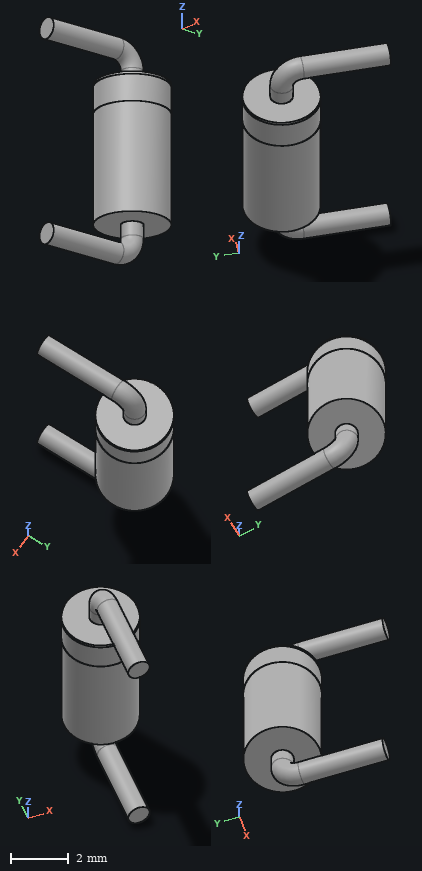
import cadquery as cq


body_diameter = 2.72
body_length = 5.2

band_diameter = 2.74
band_width = 1.0
band_end_gap = 0.1

lead_diameter = 0.8
lead_pitch = 7.62
lead_reach = 3.8
bend_radius = 0.7

body_top = body_length / 2
band_top = body_top - band_end_gap
bend_start = lead_pitch / 2 - bend_radius


def make_body():
    """Plain cylinder centred on the origin."""
    return (
        cq.Workplane("XY", origin=(0, 0, -body_top))
        .circle(body_diameter / 2)
        .extrude(body_length)
    )


def make_band():
    """Thin ring that fits closely around the body."""
    return (
        cq.Workplane("XY", origin=(0, 0, band_top - band_width))
        .circle(band_diameter / 2)
        .circle(body_diameter / 2)
        .extrude(band_width)
    )


def make_lead(end):
    """Round wire from a body end face to its tip; end is +1 for the upper lead, -1 for the lower."""
    path = (
        cq.Workplane("YZ")
        .moveTo(0, end * body_top)
        .lineTo(0, end * bend_start)
        .tangentArcPoint((-bend_radius, end * lead_pitch / 2), relative=False)
        .lineTo(-lead_reach, end * lead_pitch / 2)
    )
    return (
        cq.Workplane("XY", origin=(0, 0, end * body_top))
        .circle(lead_diameter / 2)
        .sweep(path)
    )


body = make_body()
band = make_band()
leads = [make_lead(end) for end in (1, -1)]

result = cq.Compound.makeCompound([
    body.val(),
    band.val(),
    *[lead.val() for lead in leads],
])